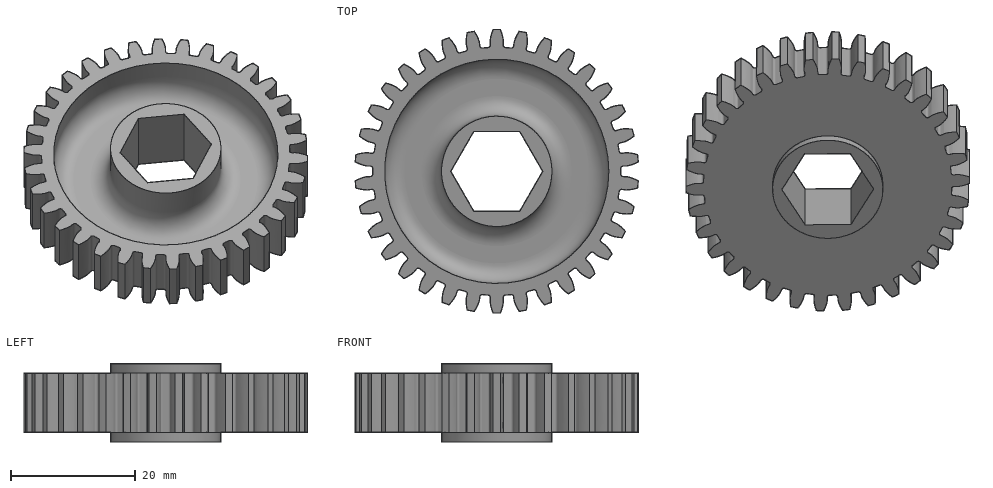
import cadquery as cq
import math

outer_diameter = 45.7
tooth_count = 34
pressure_angle = math.radians(14.5)
gear_thickness = 9.55
hub_height = 12.65
hub_diameter = 17.8
hex_across_flats = 12.8
recess_diameter = 36.1
recess_depth = 7.15
recess_fillet = 3.2
root_fillet = 0.35
dedendum_factor = 1.25
flank_points = 7

module = outer_diameter / (tooth_count + 2)
outer_radius = outer_diameter / 2
pitch_radius = module * tooth_count / 2
root_radius = pitch_radius - dedendum_factor * module
base_radius = pitch_radius * math.cos(pressure_angle)
tooth_pitch = 2 * math.pi / tooth_count


def polar(radius, angle):
    return (radius * math.cos(angle), radius * math.sin(angle))


def involute_angle(radius):
    """Polar angle swept by the involute from the base circle to a radius."""
    roll = math.sqrt(max((radius / base_radius) ** 2 - 1, 0))
    return roll - math.atan(roll)


def half_tooth_angle(radius):
    return tooth_pitch / 4 + involute_angle(pitch_radius) - involute_angle(radius)


def gear_blank():
    """Toothed disc with one tooth centred on +Y."""
    step = (outer_radius - base_radius) / (flank_points - 1)
    radii = [base_radius + i * step for i in range(flank_points)]
    root_half_angle = half_tooth_angle(base_radius)
    first_center = math.pi / 2
    outline = cq.Workplane("XY").moveTo(
        *polar(root_radius, first_center - root_half_angle)
    )
    for i in range(tooth_count):
        center = first_center + i * tooth_pitch
        rising = [polar(r, center - half_tooth_angle(r)) for r in radii]
        falling = [polar(r, center + half_tooth_angle(r)) for r in reversed(radii)]
        free_tangents = [None] * (flank_points - 1)
        start_tangents = [polar(1, center - root_half_angle)] + free_tangents
        end_tangents = free_tangents + [polar(-1, center + root_half_angle)]
        next_center = center + tooth_pitch
        outline = (
            outline.lineTo(*rising[0])
            .spline(rising[1:], tangents=start_tangents, includeCurrent=True)
            .threePointArc(polar(outer_radius, center), falling[0])
            .spline(falling[1:], tangents=end_tangents, includeCurrent=True)
            .lineTo(*polar(root_radius, center + root_half_angle))
            .threePointArc(
                polar(root_radius, center + tooth_pitch / 2),
                polar(root_radius, next_center - root_half_angle),
            )
        )
    blank = outline.close().extrude(gear_thickness)
    search_radius = (root_radius + base_radius) / 2
    corners = blank.edges("|Z").filter(
        lambda edge: math.hypot(edge.Center().x, edge.Center().y) < search_radius
    )
    return corners.fillet(root_fillet).translate((0, 0, -gear_thickness / 2))


def hub():
    return cq.Workplane("XY").circle(hub_diameter / 2).extrude(hub_height / 2, both=True)


def annular_recess():
    """Ring-shaped pocket open at the top, with rounded lower edges."""
    return (
        cq.Workplane("XY")
        .workplane(offset=gear_thickness / 2 - recess_depth)
        .circle(recess_diameter / 2)
        .circle(hub_diameter / 2)
        .extrude(recess_depth)
        .faces("<Z")
        .edges()
        .fillet(recess_fillet)
    )


def hex_bore():
    across_corners = hex_across_flats / math.cos(math.pi / 6)
    return cq.Workplane("XY").polygon(6, across_corners).extrude(hub_height, both=True)


result = gear_blank().union(hub()).cut(annular_recess()).cut(hex_bore())